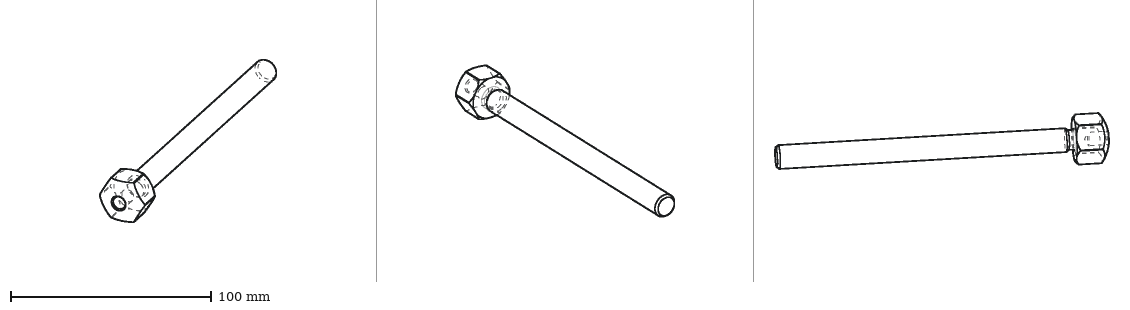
import cadquery as cq
import math

total_length = 167.0
across_flats = 22.0
corner_diameter = 25.2
head_height = 17.0
dome_radius = 20.0

back_chamfer_width = 1.5
back_chamfer_length = 1.5

shank_radius = 6.0
neck_radius = 5.0
neck_fillet = 1.0
shank_overlap = 1.7
neck_end = 20.0
shank_start = 21.4
tip_chamfer_length = 1.3
tip_chamfer_width = 1.0

hole_radius = 3.3
rim_radius = 4.0
rim_depth = 0.7
hole_depth = 10.0
drill_point_angle = 120.0


def revolve_about_y(profile):
    return profile.close().revolve(360, (0, 0, 0), (0, 1, 0))


def dome_sag(radius):
    """Distance from the full sphere's apex back to the given radius."""
    return dome_radius - math.sqrt(dome_radius**2 - radius**2)


def make_head():
    """Hexagon trimmed by a domed, back-chamfered round body."""
    hexagon = (
        cq.Workplane("XZ")
        .polygon(6, across_flats / math.cos(math.pi / 6))
        .extrude(-head_height)
    )
    corner_radius = corner_diameter / 2
    apex = -dome_sag(rim_radius)
    middle_radius = corner_radius / 2
    envelope = revolve_about_y(
        cq.Workplane("XY")
        .moveTo(0, apex)
        .threePointArc(
            (middle_radius, apex + dome_sag(middle_radius)),
            (corner_radius, apex + dome_sag(corner_radius)),
        )
        .lineTo(corner_radius, head_height - back_chamfer_length)
        .lineTo(corner_radius - back_chamfer_width, head_height)
        .lineTo(0, head_height)
    )
    return hexagon.intersect(envelope)


def make_shank():
    """Shank with an undercut neck, filleted into the head, and a chamfered tip."""
    fillet_edge = neck_radius + neck_fillet
    fillet_center_y = head_height + neck_fillet
    arc_offset = neck_fillet * math.sqrt(0.5)
    return revolve_about_y(
        cq.Workplane("XY")
        .moveTo(0, head_height - shank_overlap)
        .lineTo(fillet_edge, head_height - shank_overlap)
        .lineTo(fillet_edge, head_height)
        .threePointArc(
            (fillet_edge - arc_offset, fillet_center_y - arc_offset),
            (neck_radius, fillet_center_y),
        )
        .lineTo(neck_radius, neck_end)
        .lineTo(shank_radius, shank_start)
        .lineTo(shank_radius, total_length - tip_chamfer_length)
        .lineTo(shank_radius - tip_chamfer_width, total_length)
        .lineTo(0, total_length)
    )


def make_hole():
    """Countersunk blind hole with a drill-point bottom."""
    point_length = hole_radius / math.tan(math.radians(drill_point_angle / 2))
    return revolve_about_y(
        cq.Workplane("XY")
        .lineTo(rim_radius, 0)
        .lineTo(hole_radius, rim_depth)
        .lineTo(hole_radius, hole_depth)
        .lineTo(0, hole_depth + point_length)
    )


result = make_head().union(make_shank()).cut(make_hole())